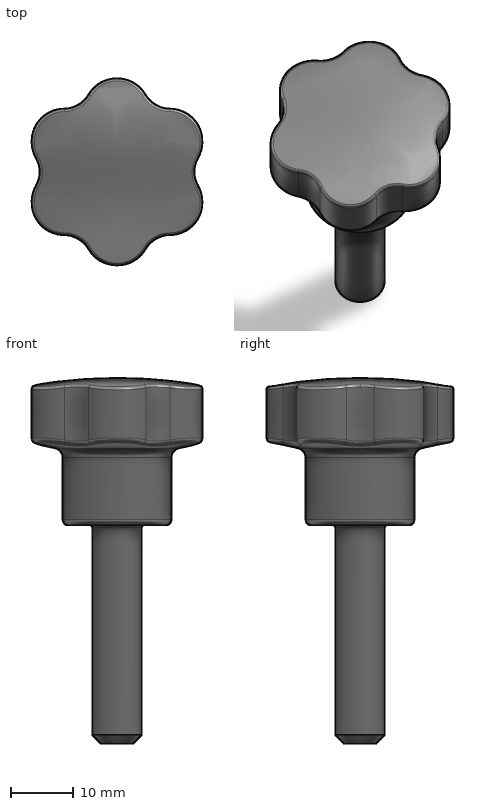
import cadquery as cq
import math

LOBE_COUNT = 6
HEAD_RADIUS = 15.0
LOBE_RADIUS = 5.3
VALLEY_RADIUS = 4.5

TOP_Z = 23.65
DOME_RADIUS = 77.0
TOP_EDGE_ROUND = 0.5
BOTTOM_EDGE_ROUND = 0.8
UNDERSIDE_ANGLE = 12.0
UNDERSIDE_MEETS_HUB_Z = 12.1
NECK_ROUND = 1.5

HUB_RADIUS = 17.5 / 2
HUB_EDGE_ROUND = 1.0

SHAFT_RADIUS = 8.0 / 2
SHAFT_LENGTH = 35.0
TIP_CHAMFER = 1.45
ROOT_ROUND = 0.3

BLANK_RADIUS = HEAD_RADIUS + 1.0


def polar(radius, angle):
    """Point in the XY plane at a radius and an angle in radians."""
    return (radius * math.cos(angle), radius * math.sin(angle))


def spin(profile):
    """Full revolution of a closed XZ profile about the Z axis."""
    return profile.revolve(360, (0, 0, 0), (0, 1, 0))


def lobed_prism():
    """Tangent chain of lobe and valley arcs, extruded up from the hub underside."""
    half_step = math.pi / LOBE_COUNT
    lobe_centre = HEAD_RADIUS - LOBE_RADIUS
    centre_span = LOBE_RADIUS + VALLEY_RADIUS
    valley_centre = lobe_centre * math.cos(half_step) + math.sqrt(
        centre_span**2 - (lobe_centre * math.sin(half_step)) ** 2
    )
    valley_bottom = valley_centre - VALLEY_RADIUS

    share = LOBE_RADIUS / centre_span
    valley_x, valley_y = polar(valley_centre, half_step)
    touch_x = lobe_centre + share * (valley_x - lobe_centre)
    touch_y = share * valley_y
    touch_radius = math.hypot(touch_x, touch_y)
    touch_angle = math.atan2(touch_y, touch_x)

    first_lobe = math.pi / 2
    outline = cq.Workplane("XY").moveTo(*polar(touch_radius, first_lobe - touch_angle))
    for index in range(LOBE_COUNT):
        lobe = first_lobe + 2 * half_step * index
        next_lobe = lobe + 2 * half_step
        outline = outline.threePointArc(
            polar(HEAD_RADIUS, lobe),
            polar(touch_radius, lobe + touch_angle),
        )
        outline = outline.threePointArc(
            polar(valley_bottom, lobe + half_step),
            polar(touch_radius, next_lobe - touch_angle),
        )
    return outline.close().extrude(TOP_Z)


def dome_z(radius):
    """Height of the domed top at a distance from the axis."""
    return TOP_Z - DOME_RADIUS + math.sqrt(DOME_RADIUS**2 - radius**2)


def head_blank():
    """Revolved disc with a domed top and a conical underside."""
    underside_rise = (BLANK_RADIUS - HUB_RADIUS) * math.tan(math.radians(UNDERSIDE_ANGLE))
    middle_radius = BLANK_RADIUS / 2
    profile = (
        cq.Workplane("XZ")
        .moveTo(0, UNDERSIDE_MEETS_HUB_Z)
        .lineTo(HUB_RADIUS, UNDERSIDE_MEETS_HUB_Z)
        .lineTo(BLANK_RADIUS, UNDERSIDE_MEETS_HUB_Z + underside_rise)
        .lineTo(BLANK_RADIUS, dome_z(BLANK_RADIUS))
        .threePointArc((middle_radius, dome_z(middle_radius)), (0, TOP_Z))
        .close()
    )
    return spin(profile)


def head():
    """Lobed head with rounded upper and lower rims."""
    body = head_blank().intersect(lobed_prism())
    body = body.faces(">Z").edges().fillet(TOP_EDGE_ROUND)
    lower_rim = body.faces("%CONE").edges("not %CIRCLE")
    return lower_rim.fillet(BOTTOM_EDGE_ROUND)


def hub():
    """Cylinder under the head with a rounded lower edge."""
    body = cq.Workplane("XY").circle(HUB_RADIUS).extrude(UNDERSIDE_MEETS_HUB_Z)
    return body.faces("<Z").edges().fillet(HUB_EDGE_ROUND)


def neck():
    """Ring that blends the hub into the conical underside with a concave arc."""
    slope = math.radians(UNDERSIDE_ANGLE)
    half_turn = (math.pi / 2 - slope) / 2
    tangent = NECK_ROUND * math.tan(half_turn)
    arc_start_z = UNDERSIDE_MEETS_HUB_Z - tangent
    arc_end = (
        HUB_RADIUS + tangent * math.cos(slope),
        UNDERSIDE_MEETS_HUB_Z + tangent * math.sin(slope),
    )
    arc_middle = (
        HUB_RADIUS + NECK_ROUND * (1 - math.cos(half_turn)),
        arc_start_z + NECK_ROUND * math.sin(half_turn),
    )
    profile = (
        cq.Workplane("XZ")
        .moveTo(0, arc_start_z)
        .lineTo(HUB_RADIUS, arc_start_z)
        .threePointArc(arc_middle, arc_end)
        .lineTo(0, arc_end[1])
        .close()
    )
    return spin(profile)


def shaft():
    """Plain shaft with a concave round at its root and a chamfered tip."""
    half_turn = math.pi / 4
    round_middle = (
        SHAFT_RADIUS + ROOT_ROUND * (1 - math.cos(half_turn)),
        -ROOT_ROUND * (1 - math.sin(half_turn)),
    )
    profile = (
        cq.Workplane("XZ")
        .moveTo(0, 0)
        .lineTo(SHAFT_RADIUS + ROOT_ROUND, 0)
        .threePointArc(round_middle, (SHAFT_RADIUS, -ROOT_ROUND))
        .lineTo(SHAFT_RADIUS, -SHAFT_LENGTH)
        .lineTo(0, -SHAFT_LENGTH)
        .close()
    )
    return spin(profile).faces("<Z").edges().chamfer(TIP_CHAMFER)


result = head().union(hub()).union(neck()).union(shaft())